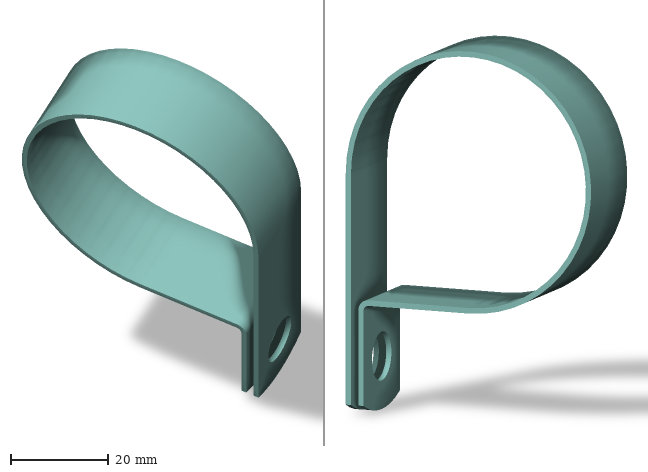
import cadquery as cq
import math

height = 78.2
strap_width = 19.1
thickness = 1.2
loop_radius = 27.45

leg_gap = 1.65
bend_radius = 2.3

end_drop = 2.3
hole_diameter = 10.25
hole_height = 11.1

loop_center_z = height - loop_radius
inner_radius = loop_radius - thickness
shelf_bottom_z = loop_center_z - loop_radius
shelf_top_z = shelf_bottom_z + thickness
short_leg_outer_x = inner_radius - leg_gap
short_leg_inner_x = short_leg_outer_x - thickness
bend_center_x = short_leg_outer_x - bend_radius
bend_center_z = shelf_top_z - bend_radius
inner_bend_radius = bend_radius - thickness
diagonal = math.sqrt(0.5)


def make_strap():
    """Bent strip: long leg, three-quarter loop, shelf, bend and short leg."""
    return (
        cq.Workplane("XZ")
        .moveTo(loop_radius, 0)
        .lineTo(loop_radius, loop_center_z)
        .threePointArc(
            (-loop_radius * diagonal, loop_center_z + loop_radius * diagonal),
            (0, shelf_bottom_z),
        )
        .lineTo(bend_center_x, shelf_bottom_z)
        .threePointArc(
            (bend_center_x + inner_bend_radius * diagonal, bend_center_z + inner_bend_radius * diagonal),
            (short_leg_inner_x, bend_center_z),
        )
        .lineTo(short_leg_inner_x, 0)
        .lineTo(short_leg_outer_x, 0)
        .lineTo(short_leg_outer_x, bend_center_z)
        .threePointArc(
            (bend_center_x + bend_radius * diagonal, bend_center_z + bend_radius * diagonal),
            (bend_center_x, shelf_top_z),
        )
        .lineTo(0, shelf_top_z)
        .threePointArc(
            (-inner_radius * diagonal, loop_center_z + inner_radius * diagonal),
            (inner_radius, loop_center_z),
        )
        .lineTo(inner_radius, 0)
        .close()
        .extrude(strap_width / 2, both=True)
    )


def make_side_outline():
    """Block seen along X whose lower edge is the arc of the leg ends."""
    half_width = strap_width / 2
    return (
        cq.Workplane("YZ")
        .moveTo(-half_width, end_drop)
        .threePointArc((0, 0), (half_width, end_drop))
        .lineTo(half_width, height)
        .lineTo(-half_width, height)
        .close()
        .extrude(loop_radius, both=True)
    )


def make_screw_hole():
    """Cylinder along X passing through both legs."""
    return (
        cq.Workplane("YZ")
        .center(0, hole_height)
        .circle(hole_diameter / 2)
        .extrude(loop_radius)
    )


result = make_strap().intersect(make_side_outline()).cut(make_screw_hole())